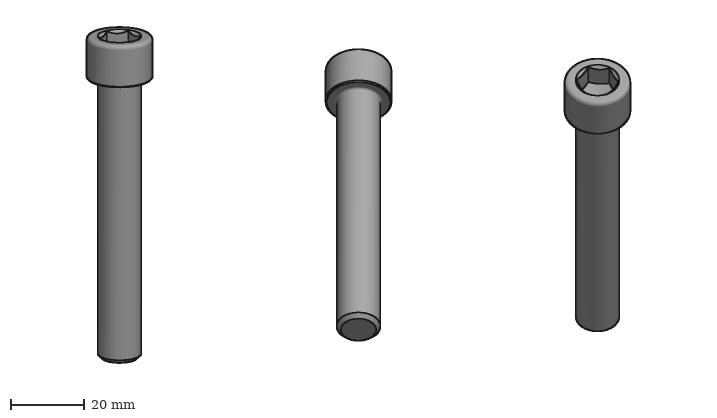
import cadquery as cq
import math

total_length = 92.0
head_diameter = 18.0
head_height = 12.0
shank_diameter = 12.0

head_top_round = 1.2
head_bottom_chamfer = 0.4
neck_fillet = 0.6
tip_chamfer = 1.2

socket_across_flats = 10.0
socket_mouth_diameter = 11.9
socket_depth = 6.0
socket_floor_angle = 30.0
floor_flat_diameter = 1.5

head_bottom = total_length - head_height
socket_across_corners = socket_across_flats / math.cos(math.radians(30))
socket_corner_radius = socket_across_corners / 2


def make_head():
    head = cq.Workplane("XY").workplane(offset=head_bottom).circle(head_diameter / 2).extrude(head_height)
    return head.faces(">Z").edges().fillet(head_top_round).faces("<Z").edges().chamfer(head_bottom_chamfer)


def make_shank():
    shank = cq.Workplane("XY").circle(shank_diameter / 2).extrude(head_bottom)
    return shank.faces("<Z").edges().chamfer(tip_chamfer)


def make_neck():
    """Ring that blends the shank into the underside of the head."""
    shank_radius = shank_diameter / 2
    fillet_bottom = head_bottom - neck_fillet
    arc_offset = neck_fillet * (1 - math.sqrt(0.5))
    return (
        cq.Workplane("XZ")
        .moveTo(0, fillet_bottom)
        .lineTo(shank_radius, fillet_bottom)
        .threePointArc(
            (shank_radius + arc_offset, head_bottom - arc_offset),
            (shank_radius + neck_fillet, head_bottom),
        )
        .lineTo(0, head_bottom)
        .close()
        .revolve(360, (0, 0), (0, 1))
    )


def make_socket():
    """Hexagonal recess with a conical floor and a 45 degree countersunk mouth."""
    flat_radius = floor_flat_diameter / 2
    mouth_radius = socket_mouth_diameter / 2
    corner_floor = total_length - socket_depth
    cone_depth = (socket_corner_radius - flat_radius) * math.tan(math.radians(socket_floor_angle))
    cone_bottom = corner_floor - cone_depth

    hexagon = (
        cq.Workplane("XY")
        .workplane(offset=cone_bottom)
        .polygon(6, socket_across_corners)
        .extrude(total_length - cone_bottom)
    )
    drilled_hole = (
        cq.Workplane("XZ")
        .moveTo(0, cone_bottom)
        .lineTo(flat_radius, cone_bottom)
        .lineTo(socket_corner_radius, corner_floor)
        .lineTo(socket_corner_radius, total_length)
        .lineTo(0, total_length)
        .close()
        .revolve(360, (0, 0), (0, 1))
    )
    mouth = (
        cq.Workplane("XZ")
        .moveTo(0, total_length)
        .lineTo(mouth_radius, total_length)
        .lineTo(0, total_length - mouth_radius)
        .close()
        .revolve(360, (0, 0), (0, 1))
    )
    return hexagon.intersect(drilled_hole).union(mouth)


result = make_shank().union(make_neck()).union(make_head()).cut(make_socket())